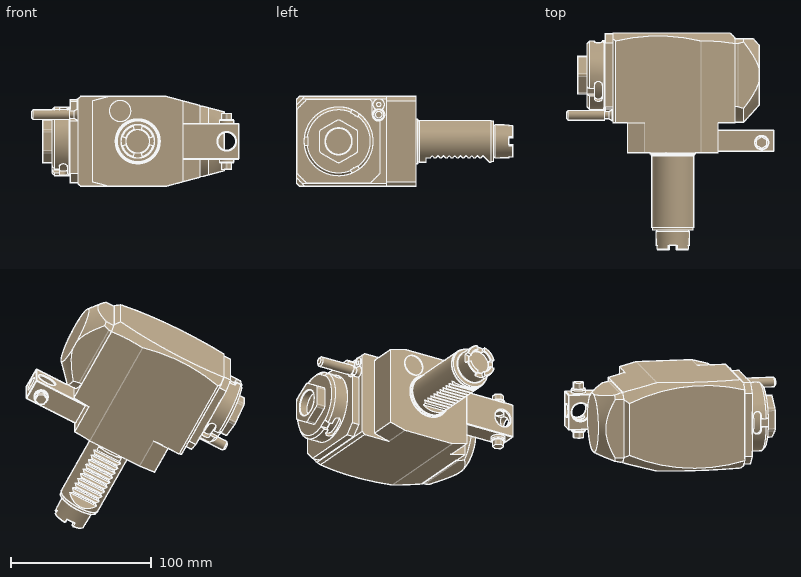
import cadquery as cq
import math


HALF_HEIGHT = 32.0
FOOT_HALF_WIDTH = 32.2
FOOT_DEPTH = 21.3
HOUSING_LEFT = -42.5
HOUSING_RIGHT = 44.2
HOUSING_BACK = 85.2
TAPER_ANGLE = 15.0
TAPER_START = 20.0
EDGE_CHAMFER = 2.0
BACK_CORNER_CHAMFER = 3.4
BACK_ARC_RADIUS = 123.2
BACK_ARC_X = -10.3
BACK_ARC_CREST = 29.9
PLUG_X = -12.5
PLUG_Z = 21.5
PLUG_RADIUS = 7.5
PLUG_RECESS = 0.8

PIN_Y = 26.6
PIN_Z = 19.0
PIN_LEFT = -75.5
PIN_SHOULDER = -48.4
PIN_FLARE_START = -45.3
PIN_RADIUS = 3.5
PIN_NECK_RADIUS = 2.6
PIN_BASE_RADIUS = 4.3
PIN_CHAMFER = 1.2
SCREW_Z = 26.2
SCREW_RADIUS = 4.0
SCREW_HEIGHT = 0.5
SCREW_SOCKET_RADIUS = 1.5
SCREW_SOCKET_DEPTH = 1.5

SPINDLE_Y = 55.1
PLATE_LEFT = -48.0
PLATE_FRONT = 25.7
PLATE_BACK = 84.7
PLATE_HALF_HEIGHT = 29.5
PLATE_CHAMFER = 6.8
NOTCH_END_RADIUS = 4.6
NOTCH_CORNER_CHAMFER = 1.4
COLLAR_LEFT = -61.0
COLLAR_RIGHT = -48.8
COLLAR_RADIUS = 24.5
COLLAR_CHAMFER = 2.0
COLLAR_NECK_RADIUS = 23.1
SLOT_FLOOR_RADIUS = 21.3
SLOT_LENGTH = 16.3
SLOT_WIDTH = 5.5
SLOT_X = -52.8
KEYWAY_WIDTH = 6.0
KEYWAY_FLOOR = 21.9
NUT_LEFT = -67.6
NUT_ACROSS_FLATS = 27.0
NUT_BORE_RADIUS = 9.2
NUT_BORE_DEPTH = 6.2
NUT_BORE_CHAMFER = 0.5
NUT_CORNER_RADIUS = 2.2

CAP_RADIUS = 33.5
CAP_CONE_START = 50.4
CAP_END = 61.6
CAP_END_RADIUS = 21.1
CAP_BACK = 81.2
CAP_RIM_END = 46.2

ARM_RIGHT = 71.9
ARM_FRONT = 0.8
ARM_BACK = 16.3
ARM_HALF_HEIGHT = 12.8
ARM_CHAMFER = 0.5
ARM_HOLE_X = 63.1
ARM_HOLE_RADIUS = 6.3
ARM_HOLE_CHAMFER = 0.6
END_BORE_RADIUS = 5.0
BOLT_POCKET_RADIUS = 4.3
BOLT_TIP_Z = 6.6
BOLT_Y = 7.2
BOLT_COLLAR_RADIUS = 5.1
BOLT_COLLAR_TOP_RADIUS = 4.6
BOLT_COLLAR_EDGE = 1.8
BOLT_COLLAR_HEIGHT = 2.8
BOLT_HEAD_TOP = 7.1
BOLT_ACROSS_FLATS = 7.1
BOLT_CORNER_RADIUS = 0.8

FLANGE_RADIUS = 16.0
FLANGE_LENGTH = 1.4
FLANGE_CHAMFER = 0.6
SHANK_RADIUS = 15.0
RELIEF_DEPTH = 0.3
RELIEF_END = 2.2
SHANK_STEP = 53.1
SHANK_LENGTH = 55.0
SHANK_END_RADIUS = 14.5
TIP_NECK_RADIUS = 11.4
TIP_START = 55.9
TIP_RADIUS = 12.0
TIP_END_RADIUS = 11.7
TIP_EDGE_CHAMFER = 0.5
TIP_END = 68.8
TIP_BORE_RADIUS = 8.3
TIP_BORE_DEPTH = 3.8
TIP_SLOT_ANGLE = 33.0
TIP_SLOT_DEPTH = 3.1
RACK_START = 7.0
RACK_CREST = 11.9
RACK_TOOTH_DEPTH = 1.5
RACK_FIRST_ROOT = 11.4
RACK_PITCH = 4.0
RACK_ROOTS = 10

CLEARANCE = 1.5


def turned_along_x(points, y, z):
    """Solid of revolution about the line parallel to X through (y, z); points are (x, radius)."""
    profile = cq.Workplane("XY").polyline(points).close()
    return profile.revolve(360, (0, 0), (1, 0)).translate((0, y, z))


def cylinder_along_x(x_from, x_to, radius, y, z):
    disc = cq.Workplane("YZ", origin=(x_from, y, z)).circle(radius)
    return disc.extrude(x_to - x_from)


def block(x_from, x_to, y_from, y_to, half_height):
    size = (x_to - x_from, y_to - y_from, 2 * half_height)
    corner = (x_from, y_from, -half_height)
    return cq.Workplane("XY").box(*size, centered=False).translate(corner)


def taper_height(x):
    """Half height of the 15 degree flats that run over the housing and the cap."""
    return HALF_HEIGHT - (x - TAPER_START) * math.tan(math.radians(TAPER_ANGLE))


def prism_along_y(upper_points, y_from, y_to):
    """Extrude an XZ outline, given by its upper half, that is symmetric about Z = 0."""
    lower_points = [(x, -z) for x, z in reversed(upper_points)]
    outline = cq.Workplane("XZ", origin=(0, y_from, 0)).polyline(upper_points + lower_points)
    return outline.close().extrude(y_from - y_to)


def make_housing():
    body = prism_along_y(
        [
            (HOUSING_LEFT, HALF_HEIGHT - EDGE_CHAMFER),
            (HOUSING_LEFT + EDGE_CHAMFER, HALF_HEIGHT),
            (TAPER_START, HALF_HEIGHT),
            (HOUSING_RIGHT, taper_height(HOUSING_RIGHT)),
        ],
        FOOT_DEPTH,
        HOUSING_BACK,
    )
    body = body.edges(cq.selectors.NearestToPointSelector((HOUSING_RIGHT, HOUSING_BACK, 0)))
    body = body.chamfer(BACK_CORNER_CHAMFER)

    for side in (1, -1):
        wide_radius = BACK_ARC_RADIUS + HOUSING_BACK
        cone = cq.Workplane("XY").polyline(
            [(0, 0), (wide_radius, 0), (BACK_ARC_RADIUS, HOUSING_BACK), (0, HOUSING_BACK)]
        )
        cone = cone.close().revolve(360, (0, 0), (0, 1))
        arc_centre_z = side * (BACK_ARC_CREST - BACK_ARC_RADIUS)
        body = body.intersect(cone.translate((BACK_ARC_X, 0, arc_centre_z)))

    foot = prism_along_y(
        [
            (-FOOT_HALF_WIDTH, taper_height(FOOT_HALF_WIDTH)),
            (-TAPER_START, HALF_HEIGHT),
            (TAPER_START, HALF_HEIGHT),
            (FOOT_HALF_WIDTH, taper_height(FOOT_HALF_WIDTH)),
        ],
        0,
        FOOT_DEPTH + CLEARANCE,
    )
    plug = cq.Workplane("XZ", origin=(PLUG_X, 0, PLUG_Z)).circle(PLUG_RADIUS).extrude(-PLUG_RECESS)
    return body.union(foot).cut(plug)


def make_plate():
    plate = block(PLATE_LEFT, HOUSING_LEFT, PLATE_FRONT, PLATE_BACK, PLATE_HALF_HEIGHT)
    plate = plate.edges("|X").chamfer(PLATE_CHAMFER)

    notch_back = PIN_Y + NOTCH_END_RADIUS
    notch = cq.Workplane("YZ", origin=(PLATE_LEFT, 0, 0)).polyline(
        [
            (0, PIN_Z),
            (notch_back, PIN_Z),
            (notch_back, PLATE_HALF_HEIGHT - NOTCH_CORNER_CHAMFER),
            (notch_back + NOTCH_CORNER_CHAMFER, PLATE_HALF_HEIGHT),
            (0, PLATE_HALF_HEIGHT),
        ]
    )
    notch = notch.close().extrude(HOUSING_LEFT - PLATE_LEFT)
    notch_end = cylinder_along_x(PLATE_LEFT, HOUSING_LEFT, NOTCH_END_RADIUS, PIN_Y, PIN_Z)
    return plate.cut(notch).cut(notch_end)


def make_collar():
    collar = turned_along_x(
        [
            (COLLAR_LEFT, 0),
            (COLLAR_LEFT, COLLAR_RADIUS - COLLAR_CHAMFER),
            (COLLAR_LEFT + COLLAR_CHAMFER, COLLAR_RADIUS),
            (COLLAR_RIGHT, COLLAR_RADIUS),
            (COLLAR_RIGHT, COLLAR_NECK_RADIUS),
            (PLATE_LEFT, COLLAR_NECK_RADIUS),
            (PLATE_LEFT, 0),
        ],
        0,
        0,
    )

    slot = cq.Workplane("XZ").center(SLOT_X, 0).slot2D(SLOT_LENGTH, SLOT_WIDTH, 90)
    slot = slot.extrude(-COLLAR_RADIUS - CLEARANCE)
    core = cylinder_along_x(COLLAR_LEFT, PLATE_LEFT, SLOT_FLOOR_RADIUS, 0, 0)
    keyway_top = COLLAR_RADIUS + CLEARANCE
    keyway = block(COLLAR_LEFT, SLOT_X, KEYWAY_FLOOR, keyway_top, KEYWAY_WIDTH / 2)
    cutter = slot.cut(core).union(keyway)
    for angle in (0, 120, 240):
        collar = collar.cut(cutter.rotate((0, 0, 0), (1, 0, 0), angle))
    return collar.translate((0, SPINDLE_Y, 0))


def make_nut():
    across_corners = NUT_ACROSS_FLATS / math.cos(math.pi / 6)
    nut = cq.Workplane("YZ", origin=(NUT_LEFT, 0, 0)).polygon(6, across_corners)
    nut = nut.extrude(COLLAR_LEFT - NUT_LEFT).edges("|X").fillet(NUT_CORNER_RADIUS)
    nut = nut.rotate((0, 0, 0), (1, 0, 0), 90).translate((0, SPINDLE_Y, 0))
    bore = turned_along_x(
        [
            (NUT_LEFT, 0),
            (NUT_LEFT, NUT_BORE_RADIUS + NUT_BORE_CHAMFER),
            (NUT_LEFT + NUT_BORE_CHAMFER, NUT_BORE_RADIUS),
            (NUT_LEFT + NUT_BORE_DEPTH, NUT_BORE_RADIUS),
            (NUT_LEFT + NUT_BORE_DEPTH, 0),
        ],
        SPINDLE_Y,
        0,
    )
    return nut.cut(bore)


def make_pin():
    return turned_along_x(
        [
            (PIN_LEFT, 0),
            (PIN_LEFT, PIN_RADIUS - PIN_CHAMFER),
            (PIN_LEFT + PIN_CHAMFER, PIN_RADIUS),
            (PIN_SHOULDER, PIN_RADIUS),
            (PIN_SHOULDER, PIN_NECK_RADIUS),
            (PIN_FLARE_START, PIN_NECK_RADIUS),
            (HOUSING_LEFT, PIN_BASE_RADIUS),
            (HOUSING_LEFT, 0),
        ],
        PIN_Y,
        PIN_Z,
    )


def add_screw(body):
    head_face = HOUSING_LEFT - SCREW_HEIGHT
    head = cylinder_along_x(head_face, HOUSING_LEFT, SCREW_RADIUS, PIN_Y, SCREW_Z)
    socket_end = head_face + SCREW_SOCKET_DEPTH
    socket = cylinder_along_x(head_face, socket_end, SCREW_SOCKET_RADIUS, PIN_Y, SCREW_Z)
    return body.union(head).cut(socket)


def make_cap():
    cap = turned_along_x(
        [
            (HOUSING_RIGHT, 0),
            (HOUSING_RIGHT, CAP_RADIUS),
            (CAP_CONE_START, CAP_RADIUS),
            (CAP_END, CAP_END_RADIUS),
            (CAP_END, 0),
        ],
        SPINDLE_Y,
        0,
    )

    envelope = prism_along_y(
        [
            (HOUSING_RIGHT, taper_height(CAP_RIM_END)),
            (CAP_RIM_END, taper_height(CAP_RIM_END)),
            (CAP_END, taper_height(CAP_END)),
        ],
        FOOT_DEPTH,
        CAP_BACK,
    )
    return cap.intersect(envelope)


def make_arm_bolt():
    collar = cq.Workplane("XZ").polyline(
        [
            (0, 0),
            (BOLT_COLLAR_RADIUS, 0),
            (BOLT_COLLAR_RADIUS, BOLT_COLLAR_EDGE),
            (BOLT_COLLAR_TOP_RADIUS, BOLT_COLLAR_HEIGHT),
            (0, BOLT_COLLAR_HEIGHT),
        ]
    )
    collar = collar.close().revolve(360, (0, 0), (0, 1))
    across_corners = BOLT_ACROSS_FLATS / math.cos(math.pi / 6)
    head = cq.Workplane("XY").polygon(6, across_corners).extrude(BOLT_HEAD_TOP)
    head = head.edges("|Z").fillet(BOLT_CORNER_RADIUS)
    bolt = collar.union(head.rotate((0, 0, 0), (0, 0, 1), 90))
    return bolt.translate((ARM_HOLE_X, BOLT_Y, ARM_HALF_HEIGHT))


def make_arm():
    arm = block(FOOT_HALF_WIDTH, ARM_RIGHT, ARM_FRONT, ARM_BACK, ARM_HALF_HEIGHT)
    arm = arm.edges("|X or >X").chamfer(ARM_CHAMFER)
    hole = cq.Workplane("XZ", origin=(ARM_HOLE_X, ARM_FRONT, 0)).circle(ARM_HOLE_RADIUS)
    arm = arm.cut(hole.extrude(ARM_FRONT - ARM_BACK))
    arm = arm.faces("<Y or >Y").edges("%CIRCLE").chamfer(ARM_HOLE_CHAMFER)

    middle_y = (ARM_FRONT + ARM_BACK) / 2
    arm = arm.cut(cylinder_along_x(ARM_HOLE_X, ARM_RIGHT, END_BORE_RADIUS, middle_y, 0))
    pocket = cq.Workplane("XY").center(ARM_HOLE_X, BOLT_Y).circle(BOLT_POCKET_RADIUS)
    arm = arm.cut(pocket.extrude(BOLT_TIP_Z, both=True))

    bolt = make_arm_bolt()
    return arm.union(bolt).union(bolt.mirror("XY"))


def make_rack_cutter():
    """Toothed cutter for the flat underside of the shank, drawn in the YZ plane."""
    root = RACK_CREST - RACK_TOOTH_DEPTH
    bottom = SHANK_RADIUS + CLEARANCE
    points = [(-RACK_START, -bottom), (-RACK_START, -RACK_CREST)]
    for tooth in range(RACK_ROOTS):
        root_y = RACK_FIRST_ROOT + tooth * RACK_PITCH
        points.append((-(root_y - RACK_TOOTH_DEPTH), -RACK_CREST))
        points.append((-root_y, -root))
        points.append((-(root_y + RACK_TOOTH_DEPTH), -RACK_CREST))
    points[-1] = (-(root_y + bottom - root), -bottom)
    cutter = cq.Workplane("YZ").polyline(points).close()
    return cutter.extrude(SHANK_RADIUS, both=True)


def make_shank():
    shank = cq.Workplane("XY").polyline(
        [
            (0, 0),
            (FLANGE_RADIUS, 0),
            (FLANGE_RADIUS, -(FLANGE_LENGTH - FLANGE_CHAMFER)),
            (FLANGE_RADIUS - FLANGE_CHAMFER, -FLANGE_LENGTH),
            (SHANK_RADIUS - RELIEF_DEPTH, -FLANGE_LENGTH),
            (SHANK_RADIUS, -RELIEF_END),
            (SHANK_RADIUS, -SHANK_STEP),
            (SHANK_END_RADIUS, -SHANK_STEP),
            (SHANK_END_RADIUS, -SHANK_LENGTH),
            (TIP_NECK_RADIUS, -SHANK_LENGTH),
            (TIP_NECK_RADIUS, -TIP_START),
            (TIP_RADIUS, -TIP_START),
            (TIP_END_RADIUS, TIP_EDGE_CHAMFER - TIP_END),
            (TIP_END_RADIUS - TIP_EDGE_CHAMFER, -TIP_END),
            (TIP_BORE_RADIUS + TIP_EDGE_CHAMFER, -TIP_END),
            (TIP_BORE_RADIUS, TIP_EDGE_CHAMFER - TIP_END),
            (TIP_BORE_RADIUS, TIP_BORE_DEPTH - TIP_END),
            (0, TIP_BORE_DEPTH - TIP_END),
        ]
    )
    shank = shank.close().revolve(360, (0, 0), (0, 1))

    slot_half_width = TIP_RADIUS * math.tan(math.radians(TIP_SLOT_ANGLE / 2))
    for angle in (0, 90, 180, 270):
        slot = cq.Workplane("XZ", origin=(0, -TIP_END, 0)).polyline(
            [(0, 0), (TIP_RADIUS, slot_half_width), (TIP_RADIUS, -slot_half_width)]
        )
        slot = slot.close().extrude(-TIP_SLOT_DEPTH)
        shank = shank.cut(slot.rotate((0, 0, 0), (0, 1, 0), angle))
    return shank.cut(make_rack_cutter())


result = make_housing()
for component in (make_plate(), make_collar(), make_nut(), make_cap(), make_arm(), make_shank()):
    result = result.union(component)
result = add_screw(result).union(make_pin())